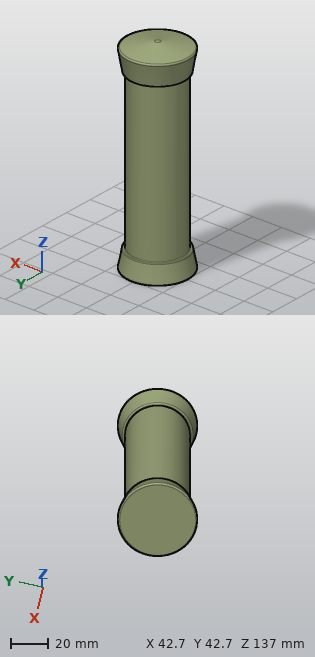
import cadquery as cq
import math

total_height = 137.0
outer_diameter = 42.7
tube_diameter = 35.0
foot_height = 12.6
cap_underside = 118.5
foot_flare_angle = 11.0
cap_flare_angle = 10.0
crown_angle = 10.0
edge_radius = 1.0
foot_top_radius = 0.4
root_radius = 0.4
tip_circle_radius = 1.6

tube_radius = tube_diameter / 2
rim_center_radius = outer_diameter / 2 - edge_radius
foot_slope = math.tan(math.radians(foot_flare_angle))
cap_slope = math.tan(math.radians(cap_flare_angle))
crown_slope = math.tan(math.radians(crown_angle))
tip_sphere_radius = tip_circle_radius / math.sin(math.radians(crown_angle))
apex_height = total_height + tip_sphere_radius * (1 / math.cos(math.radians(crown_angle)) - 1)


def sharp_rim_radius(flare_angle, end_angle):
    """Radius of the sharp rim whose rounding just reaches the outer diameter.

    The rim joins a flared side to an end face that slopes by end_angle from horizontal.
    """
    half_turn = math.radians((90 - end_angle + flare_angle) / 2)
    middle = math.radians((90 - end_angle - flare_angle) / 2)
    return rim_center_radius + edge_radius * math.cos(middle) / math.cos(half_turn)


def revolve_profile(profile):
    return profile.close().revolve(360, (0, 0, 0), (0, 1, 0))


def make_foot():
    """Foot that narrows upwards from a flat base."""
    rim_radius = sharp_rim_radius(foot_flare_angle, 0)
    top_radius = rim_radius - foot_height * foot_slope
    profile = (
        cq.Workplane("XZ")
        .lineTo(rim_radius, 0)
        .lineTo(top_radius, foot_height)
        .lineTo(0, foot_height)
    )
    foot = revolve_profile(profile)
    foot = foot.faces("<Z").edges().fillet(edge_radius)
    return foot.faces(">Z").edges().fillet(foot_top_radius)


def make_cap():
    """Cap that widens upwards and ends in a shallow cone with a rounded tip."""
    rim_radius = sharp_rim_radius(cap_flare_angle, crown_angle)
    rim_height = apex_height - rim_radius * crown_slope
    bottom_radius = rim_radius - (rim_height - cap_underside) * cap_slope
    tip_circle_height = apex_height - tip_circle_radius * crown_slope
    profile = (
        cq.Workplane("XZ")
        .moveTo(0, cap_underside)
        .lineTo(bottom_radius, cap_underside)
        .lineTo(rim_radius, rim_height)
        .lineTo(tip_circle_radius, tip_circle_height)
        .radiusArc((0, total_height), -tip_sphere_radius)
    )
    cap = revolve_profile(profile)
    cap = cap.edges(cq.selectors.RadiusNthSelector(-1)).fillet(edge_radius)
    return cap.faces("<Z").edges().fillet(edge_radius)


def make_tube():
    """Tube between foot and cap, with a hollow rounding at its root."""
    root_edge = tube_radius + root_radius
    root_top = foot_height + root_radius
    profile = (
        cq.Workplane("XZ")
        .moveTo(0, foot_height)
        .lineTo(root_edge, foot_height)
        .radiusArc((tube_radius, root_top), root_radius)
        .lineTo(tube_radius, cap_underside)
        .lineTo(0, cap_underside)
    )
    return revolve_profile(profile)


result = make_foot().union(make_tube()).union(make_cap())